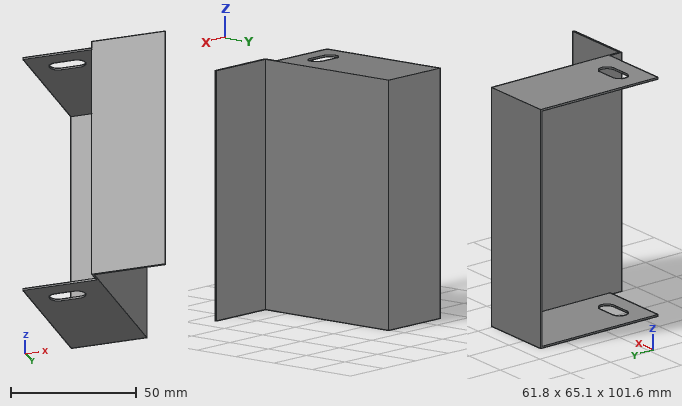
import cadquery as cq

width = 61.8
depth = 65.1
height = 101.6
sheet = 0.8

box_width = 31.8
tab_depth = 59.2

slot_length = 15.0
slot_width = 7.0
slot_center_x = 15.0
slot_center_y = 16.8


def plate(x_start, y_start, z_start, x_size, y_size, z_size):
    """Rectangular plate placed by its lowest corner."""
    block = cq.Workplane("XY").box(x_size, y_size, z_size, centered=False)
    return block.translate((x_start, y_start, z_start))


tab_front = depth - tab_depth
web_x = box_width - sheet

back_wall = plate(0, depth - sheet, 0, box_width, sheet, height)
side_web = plate(web_x, 0, 0, sheet, depth, height)
mounting_flange = plate(web_x, 0, 0, width - web_x, sheet, height)

result = back_wall.union(side_web).union(mounting_flange)
for tab_z in (0, height - sheet):
    result = result.union(plate(0, tab_front, tab_z, box_width, tab_depth, sheet))

slot_cutter = (
    cq.Workplane("XY")
    .center(slot_center_x, slot_center_y)
    .slot2D(slot_length, slot_width)
    .extrude(height)
)
result = result.cut(slot_cutter)